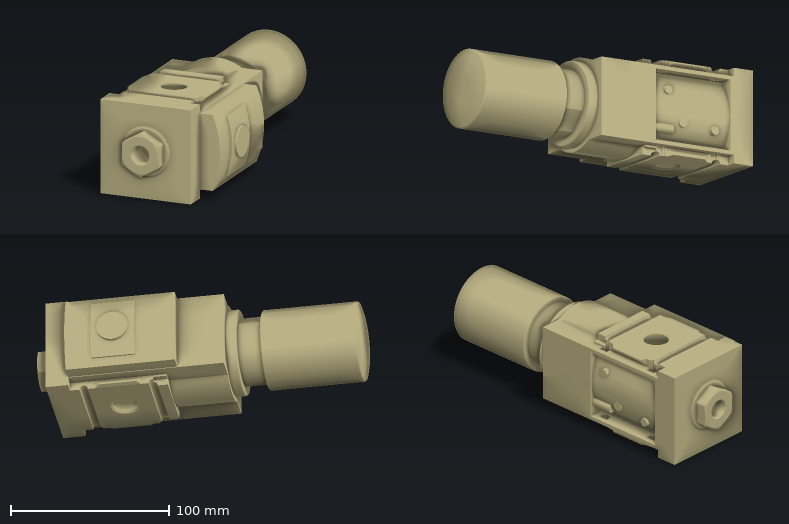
import cadquery as cq

BLOCK = 62.0
HALF = BLOCK / 2
SIDE_HALF_HEIGHT = 25.5
END_LENGTH = 14.5
BLOCK_LENGTH = 114.4
BARREL_DIA = 60.6

PLATE_HALF_WIDTH = 24.3
PLATE_BACK = 76.5
PORT_Y = 45.4
PORT_DIA = 16.0
PORT_MOUTH_DIA = 18.5
PORT_DEPTH = 16.7
GROOVE_DIA = 5.5
GROOVE_OFFSET = 22.2
EAR_WIDTH = 3.8
EAR_HEIGHT = 1.3

TONGUE_LENGTH = 29.3
TONGUE_REACH = 2.7
TONGUE_DROP = 0.8
TONGUE_HEIGHT = 4.2

SLOT_OFFSET = 20.5
SLOT_WIDTH = 7.0
SLOT_OUTER_X = -27.4
SLOT_SHOULDER_X = -23.8
SLOT_NECK_WIDTH = 4.2
SLOT_NECK_X = -22.5

WINDOW_FRONT = 17.1
WINDOW_BACK = 73.2
WINDOW_HALF_HEIGHT = 23.0
WINDOW_FLOOR_X = -21.0
COVER_RADIUS = 29.7
PINS = [
    (63.0, 10.9, 5.5, -30.1),
    (51.5, -8.8, 6.3, -29.3),
    (27.8, -11.3, 5.5, -30.1),
]
PIN_ROOT_X = -15.0
ROD_DIA = 6.3
ROD_FRONT = 58.5
ROD_Z = -13.8
ROD_X = -26.3

FLANGE_DIA = 55.0
FLANGE_BACK = 121.3
FLANGE_CHAMFER = 0.6
NECK_DIA = 43.7
NECK_FLATS = 40.4
NECK_FLATS_ANGLE = -45
KNOB_DIA = 51.0
KNOB_FRONT = 136.3
KNOB_BACK = 200.1
KNOB_CHAMFER = 0.6
KNOB_FACE_DIA = 21.0
KNOB_CROWN = 2.5

COLLAR_DIA = 33.9
COLLAR_TOP_DIA = 31.0
COLLAR_LENGTH = 1.0
NUT_FRONT = -9.0
NUT_FLATS = 25.0
NUT_CORNER_DIA = 28.5
NUT_FACE_DIA = 24.7
NUT_TAPER = 0.6
NUT_HOLE_DIA = 12.0
NUT_HOLE_MOUTH_DIA = 13.2
NUT_HOLE_DEPTH = 16.7

GAUGE_HEIGHT = 50.2
GAUGE_BACK = 84.5
GAUGE_EDGE = 8.8
GAUGE_CROWN = 14.0
LENS_HEIGHT = 39.7
LENS_LENGTH = 28.0
LENS_THICKNESS = 1.0
DIAL_DIA = 20.0
GAUGE_DEPTH = 16.3


def box(x_range, y_range, z_range):
    (x0, x1), (y0, y1), (z0, z1) = x_range, y_range, z_range
    return cq.Workplane("XY").box(x1 - x0, y1 - y0, z1 - z0, centered=False).translate((x0, y0, z0))


def disc_y(diameter, start, end):
    """Cylinder on the knob axis between two Y positions."""
    return cq.Workplane("XZ", origin=(0, start, 0)).circle(diameter / 2).extrude(start - end)


def mirrored_z(shape):
    """The shape joined with its mirror image in the XY plane."""
    return shape.union(shape.mirror("XY"))


def block():
    front_end = box((-HALF, HALF), (0, END_LENGTH), (-HALF, HALF))
    sides = box((-HALF, HALF), (0, BLOCK_LENGTH), (-SIDE_HALF_HEIGHT, SIDE_HALF_HEIGHT))
    return front_end.union(sides).union(disc_y(BARREL_DIA, PLATE_BACK, BLOCK_LENGTH))


def port_plate():
    """Upper port plate with its grooves, stepped strip and side tongues."""
    groove_back = PORT_Y + GROOVE_OFFSET
    plate = box((-PLATE_HALF_WIDTH, PLATE_HALF_WIDTH), (0, PLATE_BACK), (0, HALF))
    for side in (-1, 1):
        grooved_y = PORT_Y + side * GROOVE_OFFSET
        groove = (
            cq.Workplane("YZ", origin=(-BLOCK, grooved_y, HALF)).circle(GROOVE_DIA / 2).extrude(2 * BLOCK)
        )
        plate = plate.cut(groove)
        x_range = sorted((side * PLATE_HALF_WIDTH, side * (PLATE_HALF_WIDTH - EAR_WIDTH)))
        plate = plate.cut(box(x_range, (groove_back, PLATE_BACK), (SIDE_HALF_HEIGHT + EAR_HEIGHT, HALF)))
    tongue = side_tongue()
    return plate.union(tongue).union(tongue.mirror("YZ"))


def side_tongue():
    """Wedge on the +X side of the plate, its ends bevelled at 45 degrees."""
    reach_x = PLATE_HALF_WIDTH + TONGUE_REACH
    half = TONGUE_LENGTH / 2
    wedge = (
        cq.Workplane("XZ", origin=(0, PORT_Y - half, 0))
        .moveTo(PLATE_HALF_WIDTH, HALF)
        .lineTo(reach_x, HALF - TONGUE_DROP)
        .lineTo(reach_x, HALF - 2 * TONGUE_DROP)
        .lineTo(PLATE_HALF_WIDTH, HALF - TONGUE_HEIGHT)
        .close()
        .extrude(-TONGUE_LENGTH)
    )
    plan = (
        cq.Workplane("XY", origin=(0, PORT_Y, 0))
        .moveTo(PLATE_HALF_WIDTH, -half)
        .lineTo(reach_x, TONGUE_REACH - half)
        .lineTo(reach_x, half - TONGUE_REACH)
        .lineTo(PLATE_HALF_WIDTH, half)
        .close()
        .extrude(HALF)
    )
    return wedge.intersect(plan)


def port():
    """Upper port: a blind bore with a 45 degree countersunk mouth."""
    bore = cq.Workplane("XY", origin=(0, PORT_Y, HALF)).circle(PORT_DIA / 2).extrude(-PORT_DEPTH)
    mouth = cq.Solid.makeCone(
        PORT_DIA / 2,
        PORT_MOUTH_DIA / 2,
        (PORT_MOUTH_DIA - PORT_DIA) / 2,
        pnt=cq.Vector(0, PORT_Y, HALF - (PORT_MOUTH_DIA - PORT_DIA) / 2),
    )
    return bore.union(cq.Workplane(mouth))


def plate_slots():
    """Stepped slots through the upper wall of the window."""
    slots = cq.Workplane("XY")
    for side in (-1, 1):
        centre = PORT_Y + side * SLOT_OFFSET
        for x_end, width in ((SLOT_SHOULDER_X, SLOT_WIDTH), (SLOT_NECK_X, SLOT_NECK_WIDTH)):
            y_range = (centre - width / 2, centre + width / 2)
            slots = slots.union(box((SLOT_OUTER_X, x_end), y_range, (WINDOW_HALF_HEIGHT, HALF)))
    return slots


def window():
    """Space in front of the round cover, with narrow flat margins above and below it."""
    y_range = (WINDOW_FRONT, WINDOW_BACK)
    opening = box((-HALF, WINDOW_FLOOR_X), y_range, (-WINDOW_HALF_HEIGHT, WINDOW_HALF_HEIGHT))
    return opening.cut(disc_y(2 * COVER_RADIUS, *y_range))


def window_pins():
    """Pins and a lengthwise rod standing out of the round cover."""
    rod = (
        cq.Workplane("XZ", origin=(ROD_X, WINDOW_BACK, ROD_Z))
        .circle(ROD_DIA / 2)
        .extrude(WINDOW_BACK - ROD_FRONT)
    )
    parts = rod
    for y, z, diameter, end_x in PINS:
        pin = cq.Workplane("YZ", origin=(end_x, y, z)).circle(diameter / 2).extrude(PIN_ROOT_X - end_x)
        parts = parts.union(pin)
    return parts


def flange_and_neck():
    flange = disc_y(FLANGE_DIA, BLOCK_LENGTH, FLANGE_BACK).edges().chamfer(FLANGE_CHAMFER)
    flats = (
        cq.Workplane("XY")
        .box(NECK_FLATS, KNOB_FRONT - BLOCK_LENGTH, NECK_DIA)
        .rotate((0, 0, 0), (0, 1, 0), NECK_FLATS_ANGLE)
        .translate((0, (KNOB_FRONT + BLOCK_LENGTH) / 2, 0))
    )
    return flange.union(disc_y(NECK_DIA, BLOCK_LENGTH, KNOB_FRONT).intersect(flats))


def knob():
    """Turned knob with a chamfered front rim and a rounded, chamfered back end."""
    radius = KNOB_DIA / 2
    rim_radius = radius - KNOB_CHAMFER
    rim_back = KNOB_BACK - KNOB_CROWN
    return (
        cq.Workplane("XY")
        .moveTo(0, KNOB_BACK)
        .lineTo(KNOB_FACE_DIA / 2, KNOB_BACK)
        .tangentArcPoint((rim_radius, rim_back), relative=False)
        .lineTo(radius, rim_back - KNOB_CHAMFER)
        .lineTo(radius, KNOB_FRONT + KNOB_CHAMFER)
        .lineTo(rim_radius, KNOB_FRONT)
        .lineTo(0, KNOB_FRONT)
        .close()
        .revolve(360, (0, 0, 0), (0, 1, 0))
    )


def nut():
    """Hexagon nut on a tapered collar, with rounded-off corners and a chamfered face."""
    collar = cq.Workplane(
        cq.Solid.makeCone(
            COLLAR_DIA / 2, COLLAR_TOP_DIA / 2, COLLAR_LENGTH, dir=cq.Vector(0, -1, 0)
        )
    )
    hexagon = cq.Workplane("XZ").polygon(6, NUT_FLATS, circumscribed=True).extrude(-NUT_FRONT)
    taper = cq.Solid.makeCone(
        NUT_FACE_DIA / 2,
        NUT_CORNER_DIA / 2,
        NUT_TAPER,
        pnt=cq.Vector(0, NUT_FRONT, 0),
        dir=cq.Vector(0, 1, 0),
    )
    turned = disc_y(NUT_CORNER_DIA, 0, NUT_FRONT + NUT_TAPER).union(cq.Workplane(taper))
    return collar.union(hexagon.intersect(turned))


def nut_hole():
    mouth_depth = (NUT_HOLE_MOUTH_DIA - NUT_HOLE_DIA) / 2
    mouth = cq.Solid.makeCone(
        NUT_HOLE_MOUTH_DIA / 2,
        NUT_HOLE_DIA / 2,
        mouth_depth,
        pnt=cq.Vector(0, NUT_FRONT, 0),
        dir=cq.Vector(0, 1, 0),
    )
    return disc_y(NUT_HOLE_DIA, NUT_FRONT, NUT_FRONT + NUT_HOLE_DEPTH).union(cq.Workplane(mouth))


def make_housing():
    body = block().union(mirrored_z(port_plate()))
    body = body.cut(mirrored_z(port())).cut(window()).cut(mirrored_z(plate_slots()))
    body = body.union(window_pins()).union(flange_and_neck()).union(knob())
    return body.union(nut()).cut(nut_hole())


def crowned_bar(offset, y_range):
    """Bar along Y whose +X face is an arc, moved out by the offset."""
    half = GAUGE_HEIGHT / 2
    edge_x = HALF + GAUGE_EDGE + offset
    return (
        cq.Workplane("XZ", origin=(0, y_range[0], 0))
        .moveTo(HALF, -half)
        .lineTo(edge_x, -half)
        .threePointArc((HALF + GAUGE_CROWN + offset, 0), (edge_x, half))
        .lineTo(HALF, half)
        .close()
        .extrude(y_range[0] - y_range[1])
    )


def make_gauge():
    lens_y = (PORT_Y - LENS_LENGTH / 2, PORT_Y + LENS_LENGTH / 2)
    lens = crowned_bar(LENS_THICKNESS, lens_y).intersect(
        box((HALF, HALF + GAUGE_DEPTH), lens_y, (-LENS_HEIGHT / 2, LENS_HEIGHT / 2))
    )
    dial = cq.Workplane("YZ", origin=(HALF, PORT_Y, 0)).circle(DIAL_DIA / 2).extrude(GAUGE_DEPTH)
    return crowned_bar(0, (END_LENGTH, GAUGE_BACK)).union(lens).union(dial)


housing = make_housing()
gauge = make_gauge()
result = cq.Compound.makeCompound([housing.val(), gauge.val()])